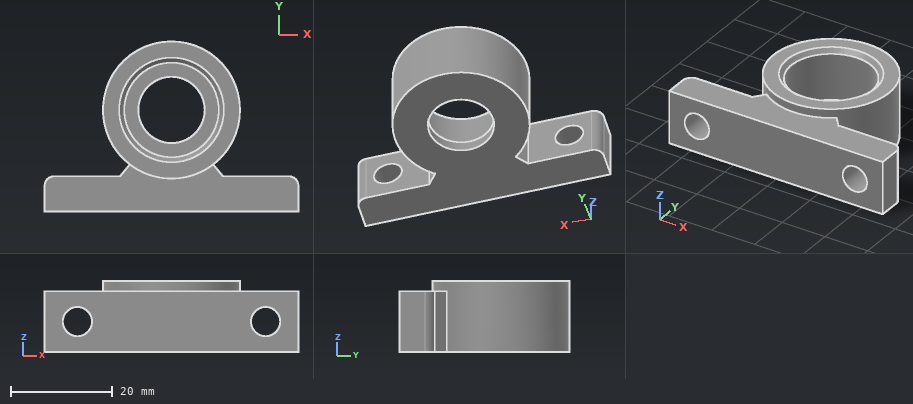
import cadquery as cq

flange_length = 50
flange_thickness = 7
flange_height = 12
corner_radius = 2

hole_diameter = 5.7
hole_spacing = 37

ring_diameter = 27
ring_height = 14
ring_center_y = 20
seat_diameter = 18.6
seat_floor = 2.5
bore_diameter = 13
seat_chamfer = 1

web_base_width = 20.2
web_top_width = 15.3
web_top_y = 10


def make_flange():
    plate = cq.Workplane("XY").box(
        flange_length, flange_thickness, flange_height, centered=(True, False, False)
    )
    return plate.edges("|Z and >Y").fillet(corner_radius)


def make_web():
    return (
        cq.Workplane("XY")
        .moveTo(-web_base_width / 2, flange_thickness)
        .lineTo(web_base_width / 2, flange_thickness)
        .lineTo(web_top_width / 2, web_top_y)
        .lineTo(-web_top_width / 2, web_top_y)
        .close()
        .extrude(flange_height)
    )


def ring_cylinder(diameter, bottom, top):
    return (
        cq.Workplane("XY", origin=(0, ring_center_y, bottom))
        .circle(diameter / 2)
        .extrude(top - bottom)
    )


def make_seat():
    lead_in = cq.Workplane("XY").add(
        cq.Solid.makeCone(
            seat_diameter / 2,
            seat_diameter / 2 + seat_chamfer,
            seat_chamfer,
            pnt=cq.Vector(0, ring_center_y, ring_height - seat_chamfer),
        )
    )
    return ring_cylinder(seat_diameter, seat_floor, ring_height).union(lead_in)


def make_mounting_holes():
    return (
        cq.Workplane("XZ", origin=(0, 0, flange_height / 2))
        .pushPoints([(-hole_spacing / 2, 0), (hole_spacing / 2, 0)])
        .circle(hole_diameter / 2)
        .extrude(-flange_thickness)
    )


result = (
    make_flange()
    .union(make_web())
    .union(ring_cylinder(ring_diameter, 0, ring_height))
    .cut(make_seat())
    .cut(ring_cylinder(bore_diameter, 0, ring_height))
    .cut(make_mounting_holes())
)